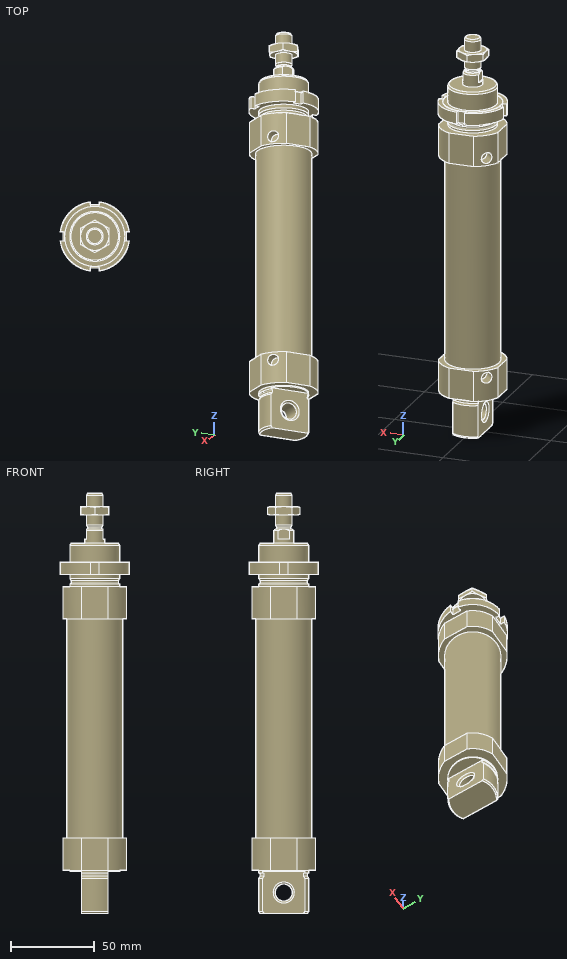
import cadquery as cq
import math

LENGTH = 251.5

TUBE_DIA = 33.7
HEAD_DIA = 41.2
HEAD_FLAT_HALF_ANGLE = 22.5
HEAD_ACROSS_FLATS = HEAD_DIA * math.cos(math.radians(HEAD_FLAT_HALF_ANGLE))
HEAD_HEIGHT = 19.4
REAR_HEAD_BOTTOM = 26.0
FRONT_HEAD_TOP = 195.7
PORT_DIA = 6.8
PORT_INSET = 4.8
PORT_DEPTH = 7.5
PORT_ANGLE = 135.0

THREAD_CHAMFER = 1.3

NECK_DIA = 30.0
NECK_ROOT_DIA = 28.5
NECK_COLLAR = 1.5
NECK_GROOVE_FLOOR = 1.3
NOSE_TOP = 221.5

LUG_THICKNESS = 16.0
LUG_COLLAR = 0.8
LUG_EYE_DIA = 10.0
LUG_EYE_CHAMFER = 1.3
LUG_EYE_Z = 12.5

ROD_DIA = 12.0
ROD_ACROSS_FLATS = 10.0
ROD_FLAT_BOTTOM = 224.0
ROD_SHOULDER = 230.0
ROD_SHOULDER_CHAMFER = 1.0
ROD_THREAD_DIA = 10.0
ROD_ROOT_DIA = 8.5
ROD_THREAD_BOTTOM = 231.1

HEX_SIDES = 6
HEX_ACROSS_FLATS = 16.9
HEX_HEIGHT = 5.0
HEX_BOTTOM = 238.5
HEX_CHAMFER_ANGLE = 20.0

RING_DIA = 41.7
RING_HEIGHT = 7.5
RING_BOTTOM = 202.7
RING_SLOT_COUNT = 4
RING_SLOT_WIDTH = 5.3
RING_SLOT_FLOOR_DIA = 36.0
RING_RECESS_DEPTH = 0.3


def cylinder(diameter, bottom, top):
    """Cylinder on the Z axis between two heights."""
    return cq.Workplane("XY").workplane(offset=bottom).circle(diameter / 2).extrude(top - bottom)


def revolved(profile):
    """Solid of revolution about Z; the profile lists (diameter, z) from bottom to top."""
    bottom = profile[0][1]
    top = profile[-1][1]
    points = [(0, bottom)] + [(diameter / 2, z) for diameter, z in profile] + [(0, top)]
    return cq.Workplane("XZ").polyline(points).close().revolve(360, (0, 0), (0, 1))


def neck_groove():
    """Ring that cuts the relief groove of a neck rising from Z = 0.

    Going up, the groove has a rounded corner, a straight floor and the chamfered start of the thread.
    """
    outer = NECK_DIA / 2
    root = NECK_ROOT_DIA / 2
    corner_radius = outer - root
    floor_bottom = NECK_COLLAR + corner_radius
    floor_top = floor_bottom + NECK_GROOVE_FLOOR
    return (
        cq.Workplane("XZ")
        .moveTo(outer, NECK_COLLAR)
        .radiusArc((root, floor_bottom), corner_radius)
        .lineTo(root, floor_top)
        .lineTo(outer, floor_top + THREAD_CHAMFER)
        .close()
        .revolve(360, (0, 0), (0, 1))
    )


def head(bottom):
    """Round head with four flats facing +X, -X, +Y and -Y."""
    block = (
        cq.Workplane("XY")
        .workplane(offset=bottom)
        .rect(HEAD_ACROSS_FLATS, HEAD_ACROSS_FLATS)
        .extrude(HEAD_HEIGHT)
    )
    return cylinder(HEAD_DIA, bottom, bottom + HEAD_HEIGHT).intersect(block)


def port(z):
    """Blind radial port on a rounded side of a head."""
    direction = cq.Vector(math.cos(math.radians(PORT_ANGLE)), math.sin(math.radians(PORT_ANGLE)), 0)
    start = direction * (HEAD_DIA / 2 - PORT_DEPTH) + cq.Vector(0, 0, z)
    return cq.Workplane(cq.Solid.makeCylinder(PORT_DIA / 2, 2 * PORT_DEPTH, start, direction))


def front_nose():
    """Threaded nose with a relief groove next to the front head."""
    nose = revolved([
        (NECK_DIA, FRONT_HEAD_TOP),
        (NECK_DIA, NOSE_TOP - THREAD_CHAMFER),
        (NECK_ROOT_DIA, NOSE_TOP),
    ])
    return nose.cut(neck_groove().translate((0, 0, FRONT_HEAD_TOP)))


def rear_lug():
    """Round neck flattened to a lug, with a relief groove and a chamfered cross eye."""
    flat_top = REAR_HEAD_BOTTOM - LUG_COLLAR
    lug = revolved([
        (NECK_ROOT_DIA, 0),
        (NECK_DIA, THREAD_CHAMFER),
        (NECK_DIA, flat_top),
    ]).cut(neck_groove().mirror("XY").translate((0, 0, REAR_HEAD_BOTTOM)))
    slab = cq.Workplane("XY").rect(LUG_THICKNESS, NECK_DIA).extrude(flat_top)
    eye = (
        revolved([
            (LUG_EYE_DIA + 2 * LUG_EYE_CHAMFER, -LUG_THICKNESS / 2),
            (LUG_EYE_DIA, LUG_EYE_CHAMFER - LUG_THICKNESS / 2),
            (LUG_EYE_DIA, LUG_THICKNESS / 2 - LUG_EYE_CHAMFER),
            (LUG_EYE_DIA + 2 * LUG_EYE_CHAMFER, LUG_THICKNESS / 2),
        ])
        .rotate((0, 0, 0), (0, 1, 0), 90)
        .translate((0, 0, LUG_EYE_Z))
    )
    collar = cylinder(NECK_DIA, flat_top, REAR_HEAD_BOTTOM)
    return lug.intersect(slab).cut(eye).union(collar)


def make_housing():
    """Tube, both heads, nose and rear lug as one solid."""
    tube_bottom = REAR_HEAD_BOTTOM + HEAD_HEIGHT
    tube_top = FRONT_HEAD_TOP - HEAD_HEIGHT
    body = cylinder(TUBE_DIA, tube_bottom, tube_top)
    body = body.union(head(REAR_HEAD_BOTTOM)).union(head(tube_top))
    body = body.union(front_nose()).union(rear_lug())
    for z in (tube_bottom - PORT_INSET, tube_top + PORT_INSET):
        body = body.cut(port(z))
    return body


def make_rod():
    """Exposed piston rod: two wrench flats, an undercut and a threaded end."""
    rod = revolved([
        (ROD_DIA, NOSE_TOP),
        (ROD_DIA, ROD_SHOULDER - ROD_SHOULDER_CHAMFER),
        (ROD_DIA - 2 * ROD_SHOULDER_CHAMFER, ROD_SHOULDER),
        (ROD_ROOT_DIA, ROD_SHOULDER),
        (ROD_ROOT_DIA, ROD_THREAD_BOTTOM),
        (ROD_THREAD_DIA, ROD_THREAD_BOTTOM + THREAD_CHAMFER),
        (ROD_THREAD_DIA, LENGTH - THREAD_CHAMFER),
        (ROD_ROOT_DIA, LENGTH),
    ])
    for side in (-1, 1):
        flat = (
            cq.Workplane("XY")
            .workplane(offset=ROD_FLAT_BOTTOM)
            .center(side * ROD_ACROSS_FLATS, 0)
            .rect(ROD_ACROSS_FLATS, ROD_DIA)
            .extrude(ROD_SHOULDER - ROD_FLAT_BOTTOM)
        )
        rod = rod.cut(flat)
    return rod


def make_hex_nut():
    """Thin nut with flats facing +X and -X and both faces chamfered at the corners."""
    across_corners = HEX_ACROSS_FLATS / math.cos(math.pi / HEX_SIDES)
    corner_drop = (across_corners - HEX_ACROSS_FLATS) / 2 * math.tan(math.radians(HEX_CHAMFER_ANGLE))
    top = HEX_BOTTOM + HEX_HEIGHT
    prism = (
        cq.Workplane("XY")
        .workplane(offset=HEX_BOTTOM)
        .polygon(HEX_SIDES, across_corners)
        .extrude(HEX_HEIGHT)
        .rotate((0, 0, 0), (0, 0, 1), 90)
    )
    envelope = revolved([
        (HEX_ACROSS_FLATS, HEX_BOTTOM),
        (across_corners, HEX_BOTTOM + corner_drop),
        (across_corners, top - corner_drop),
        (HEX_ACROSS_FLATS, top),
    ])
    return prism.intersect(envelope).cut(cylinder(ROD_THREAD_DIA, HEX_BOTTOM, top))


def make_ring_nut():
    """Round nut with four spanner slots and a shallow recess in its top face."""
    top = RING_BOTTOM + RING_HEIGHT
    nut = cylinder(RING_DIA, RING_BOTTOM, top).cut(cylinder(NECK_DIA, RING_BOTTOM, top))
    nut = nut.cut(cylinder(RING_SLOT_FLOOR_DIA, top - RING_RECESS_DEPTH, top))
    slots = (
        cq.Workplane("XY")
        .workplane(offset=RING_BOTTOM)
        .polarArray((RING_SLOT_FLOOR_DIA + RING_DIA) / 4, 0, 360, RING_SLOT_COUNT)
        .rect((RING_DIA - RING_SLOT_FLOOR_DIA) / 2, RING_SLOT_WIDTH)
        .extrude(RING_HEIGHT)
    )
    return nut.cut(slots)


housing = make_housing()
rod = make_rod()
hex_nut = make_hex_nut()
ring_nut = make_ring_nut()

result = cq.Compound.makeCompound([housing.val(), rod.val(), hex_nut.val(), ring_nut.val()])